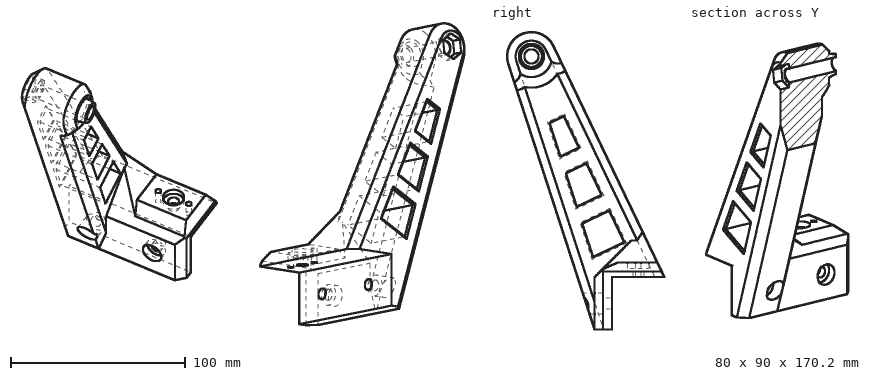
import cadquery as cq
import math

LENGTH = 80.0
DEPTH = 90.0
HEIGHT = 170.2

FOOT_GAP = 30.0
FOOT_FRONT = 40.0
BLOCK_TOP = 38.3

ARM_WIDTH = 30.0
HUB_WIDTH = 35.0
HUB_RADIUS = 14.0
EDGE_CHAMFER = 5.0
SHOULDER_RADIUS = 23.3
HUB_Y = HUB_RADIUS - DEPTH
HUB_Z = HEIGHT - HUB_RADIUS

SLOPE_TOP_Y = -26.9
SLOPE_LOW_Y = -35.4
GUSSET_SUM = 81.0

PIN_LENGTH = 5.0
PIN_BASE_DIAMETER = 14.5
PIN_TIP_DIAMETER = 12.0

NUT_FLATS = 13.0
NUT_DEPTH = 6.0
BOLT_DIAMETER = 8.2
RECESS_DEPTH = 0.2
MEMBRANE = 0.3

WINDOW_INSET = 12.0
WINDOW_START = 28.0
WINDOW_LENGTH = 19.9
WINDOW_PITCH = 30.0
WINDOW_COUNT = 3
WINDOW_CHAMFER = 1.0

SCREW_DIAMETER = 6.3
HEAD_DIAMETER = 12.0
SEAT_THICKNESS = 5.0
SCREW_OFFSET = 15.0
SCREW_X = (20.0, 60.0)
PEG_DIAMETER = 3.2
PEG_SPACING = 10.0


def tangent_angle(y, z, side):
    """Lean from vertical of the line from (y, z) that is tangent to the hub circle."""
    run = y - HUB_Y
    rise = HUB_Z - z
    return math.atan2(run, rise) + side * math.asin(HUB_RADIUS / math.hypot(run, rise))


BACK_LEAN = tangent_angle(0, FOOT_GAP, -1)
FRONT_LEAN = tangent_angle(-FOOT_FRONT, 0, 1)
ARM_LEAN = (BACK_LEAN + FRONT_LEAN) / 2


def back_y(z):
    """Y of the back edge of the arm at height z."""
    return -(z - FOOT_GAP) * math.tan(BACK_LEAN)


def extrude_yz(points, x_start, x_end):
    """Prism along X over a closed polygon of (y, z) points."""
    return cq.Workplane("YZ", origin=(x_start, 0, 0)).polyline(points).close().extrude(x_end - x_start)


def chamfered_arm(width):
    """Arm with a round head, chamfered along both sloping edges and around the head."""
    def on_hub(angle):
        return HUB_Y + HUB_RADIUS * math.cos(angle), HUB_Z + HUB_RADIUS * math.sin(angle)

    blank = (
        cq.Workplane("YZ")
        .moveTo(0, FOOT_GAP)
        .lineTo(*on_hub(BACK_LEAN))
        .threePointArc(on_hub(math.pi / 2 + ARM_LEAN), on_hub(math.pi + FRONT_LEAN))
        .lineTo(-FOOT_FRONT, 0)
        .lineTo(-FOOT_GAP, 0)
        .lineTo(-FOOT_GAP, FOOT_GAP)
        .close()
        .extrude(width)
    )
    edges = []
    for edge in blank.faces("<X or >X").edges().vals():
        middle = edge.Center()
        if middle.z > BLOCK_TOP or middle.y < -FOOT_FRONT:
            edges.append(edge)
    return blank.newObject(edges).chamfer(EDGE_CHAMFER)


def base_block():
    """Block beside the arm with bevelled front and end, and the gusset up to the arm."""
    x_start = ARM_WIDTH - EDGE_CHAMFER
    slope_low_z = FOOT_GAP + FOOT_FRONT + SLOPE_LOW_Y
    section = [
        (0, FOOT_GAP),
        (-FOOT_GAP, FOOT_GAP),
        (-FOOT_GAP, 0),
        (-FOOT_FRONT, 0),
        (-FOOT_FRONT, FOOT_GAP),
        (SLOPE_LOW_Y, slope_low_z),
        (SLOPE_TOP_Y, BLOCK_TOP),
        (back_y(BLOCK_TOP), BLOCK_TOP),
    ]
    block = extrude_yz(section, x_start, LENGTH)

    bevel_start = LENGTH - EDGE_CHAMFER
    top_limit = [(x_start, 0), (LENGTH, 0), (LENGTH, BLOCK_TOP - EDGE_CHAMFER),
                 (bevel_start, BLOCK_TOP), (x_start, BLOCK_TOP)]
    block = block.intersect(cq.Workplane("XZ").polyline(top_limit).close().extrude(FOOT_FRONT))
    front_limit = [(x_start, 0), (LENGTH, 0), (LENGTH, EDGE_CHAMFER - FOOT_FRONT),
                   (bevel_start, -FOOT_FRONT), (x_start, -FOOT_FRONT)]
    block = block.intersect(cq.Workplane("XY").polyline(front_limit).close().extrude(BLOCK_TOP))

    ridge_z = FOOT_GAP + FOOT_FRONT / (1 + math.tan(BACK_LEAN))
    wedge = [(0, FOOT_GAP), (-FOOT_FRONT, FOOT_GAP), (back_y(ridge_z), ridge_z)]
    gusset = extrude_yz(wedge, x_start, LENGTH)
    under_slope = [(x_start, FOOT_GAP), (GUSSET_SUM - FOOT_GAP, FOOT_GAP), (x_start, GUSSET_SUM - x_start)]
    gusset = gusset.intersect(cq.Workplane("XZ").polyline(under_slope).close().extrude(FOOT_FRONT))
    return block.union(gusset)


def window_points(index, margin):
    """Corners of a window: sides parallel to the arm's edges, ends square to its back edge."""
    inset = WINDOW_INSET - margin
    start = WINDOW_START + index * WINDOW_PITCH - margin
    end = start + WINDOW_LENGTH + 2 * margin
    sin_b, cos_b = math.sin(BACK_LEAN), math.cos(BACK_LEAN)

    def at_back(along):
        return -along * sin_b - inset * cos_b, FOOT_GAP + along * cos_b - inset * sin_b

    def at_front(along):
        y, z = at_back(along)
        gap = (y + FOOT_FRONT) * math.cos(FRONT_LEAN) + z * math.sin(FRONT_LEAN) - inset
        step = gap / math.cos(BACK_LEAN - FRONT_LEAN)
        return y - step * cos_b, z - step * sin_b

    return [at_back(start), at_back(end), at_front(end), at_front(start)]


def window_cutter(index):
    opening = extrude_yz(window_points(index, 0), 0, HUB_WIDTH)
    rim = (
        cq.Workplane("YZ")
        .polyline(window_points(index, WINDOW_CHAMFER)).close()
        .workplane(offset=WINDOW_CHAMFER)
        .polyline(window_points(index, 0)).close()
        .loft(ruled=True)
    )
    return opening.union(rim)


def screw_cutter(length):
    """Screw hole along +Z, with the head recess above the seat."""
    hole = cq.Workplane("XY").circle(SCREW_DIAMETER / 2).extrude(length)
    head = cq.Workplane("XY", origin=(0, 0, SEAT_THICKNESS)).circle(HEAD_DIAMETER / 2).extrude(length)
    return hole.union(head)


shoulder = cq.Workplane("XY").sphere(SHOULDER_RADIUS).translate((ARM_WIDTH / 2, HUB_Y, HUB_Z))
hub = chamfered_arm(HUB_WIDTH).intersect(shoulder)
result = chamfered_arm(ARM_WIDTH).union(hub).union(base_block())

pin = (
    cq.Workplane("YZ", origin=(HUB_WIDTH, HUB_Y, HUB_Z))
    .circle(PIN_BASE_DIAMETER / 2)
    .workplane(offset=PIN_LENGTH)
    .circle(PIN_TIP_DIAMETER / 2)
    .loft()
)
result = result.union(pin)

nut = (
    cq.Workplane("YZ")
    .polygon(6, NUT_FLATS / math.cos(math.pi / 6))
    .extrude(NUT_DEPTH)
    .rotate((0, 0, 0), (1, 0, 0), math.degrees(ARM_LEAN))
)
recess_end = NUT_DEPTH + RECESS_DEPTH
recess = cq.Workplane("YZ").circle(BOLT_DIAMETER / 2).extrude(recess_end)
bore_start = recess_end + MEMBRANE
bore_length = HUB_WIDTH + PIN_LENGTH - bore_start
bore = cq.Workplane("YZ", origin=(bore_start, 0, 0)).circle(BOLT_DIAMETER / 2).extrude(bore_length)
for cutter in (nut, recess, bore):
    result = result.cut(cutter.translate((0, HUB_Y, HUB_Z)))

for index in range(WINDOW_COUNT):
    result = result.cut(window_cutter(index))

front_screw = screw_cutter(FOOT_FRONT).rotate((0, 0, 0), (1, 0, 0), 90)
for x in SCREW_X:
    result = result.cut(front_screw.translate((x, -FOOT_GAP, SCREW_OFFSET)))
top_screw = screw_cutter(BLOCK_TOP)
result = result.cut(top_screw.translate((SCREW_X[1], -SCREW_OFFSET, FOOT_GAP)))
for side in (-1, 1):
    peg = cq.Workplane("XY", origin=(SCREW_X[1] + side * PEG_SPACING, -SCREW_OFFSET, FOOT_GAP))
    result = result.cut(peg.circle(PEG_DIAMETER / 2).extrude(BLOCK_TOP))